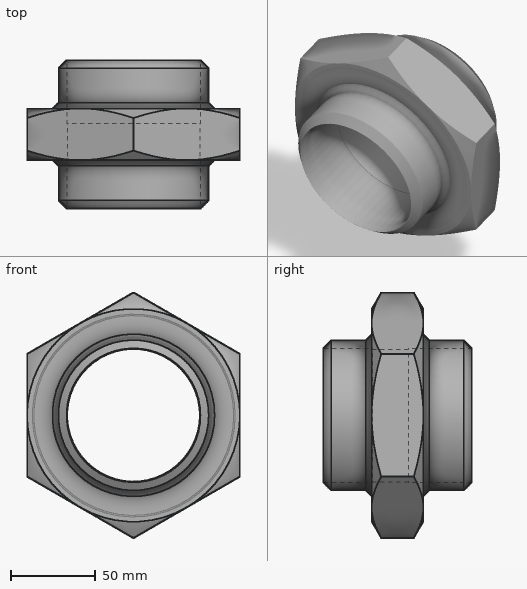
import cadquery as cq
import math

LENGTH = 88.0
ACROSS_FLATS = 126.0
ACROSS_CORNERS = 145.3

COLLAR_WIDTH = 30.5
CORNER_CHAMFER_ANGLE = 30.0
FACE_STEP_OUTER_DIAMETER = 120.0
FACE_STEP_INNER_DIAMETER = 118.3
FACE_STEP_DEPTH = 0.07

END_DIAMETER = 89.0
END_CHAMFER = 4.8
SHOULDER_DIAMETER = 96.0
SHOULDER_LENGTH = (SHOULDER_DIAMETER - END_DIAMETER) / 2

BORE_DIAMETER = 78.5
END_BORE_DIAMETER = 79.2
FRONT_BORE_DEPTH = 29.0
BACK_BORE_DEPTH = 37.5

HALF_LENGTH = LENGTH / 2
HALF_COLLAR = COLLAR_WIDTH / 2
FACE_Y = HALF_COLLAR - FACE_STEP_DEPTH


def turn(points):
    """Revolve a closed (radius, y) outline about the Y axis."""
    return cq.Workplane("XY").polyline(points).close().revolve(360, (0, 0, 0), (0, 1, 0))


def turn_both_sides(points):
    """Turn the +Y half of a symmetric shape and mirror it onto the -Y side."""
    half = turn(points)
    return half.union(half.mirror("XZ"))


def hex_collar():
    sharp_corners = ACROSS_FLATS / math.cos(math.pi / 6)
    hexagon = (
        cq.Workplane("XZ")
        .transformed(rotate=(0, 0, 90))
        .polygon(6, sharp_corners)
        .extrude(HALF_COLLAR, both=True)
    )
    flat_radius = ACROSS_FLATS / 2
    corner_radius = ACROSS_CORNERS / 2
    chamfer_drop = (corner_radius - flat_radius) * math.tan(math.radians(CORNER_CHAMFER_ANGLE))
    envelope = turn_both_sides([
        (0, 0),
        (corner_radius, 0),
        (corner_radius, HALF_COLLAR - chamfer_drop),
        (flat_radius, HALF_COLLAR),
        (FACE_STEP_OUTER_DIAMETER / 2, HALF_COLLAR),
        (FACE_STEP_INNER_DIAMETER / 2, FACE_Y),
        (0, FACE_Y),
    ])
    return hexagon.intersect(envelope)


def cylindrical_ends():
    end_radius = END_DIAMETER / 2
    return turn_both_sides([
        (0, 0),
        (SHOULDER_DIAMETER / 2, 0),
        (SHOULDER_DIAMETER / 2, FACE_Y),
        (end_radius, FACE_Y + SHOULDER_LENGTH),
        (end_radius, HALF_LENGTH - END_CHAMFER),
        (end_radius - END_CHAMFER, HALF_LENGTH),
        (0, HALF_LENGTH),
    ])


def stepped_bore():
    front_step_y = -HALF_LENGTH + FRONT_BORE_DEPTH
    back_step_y = HALF_LENGTH - BACK_BORE_DEPTH
    bore_radius = BORE_DIAMETER / 2
    end_radius = END_BORE_DIAMETER / 2
    return turn([
        (0, -HALF_LENGTH),
        (end_radius, -HALF_LENGTH),
        (end_radius, front_step_y),
        (bore_radius, front_step_y),
        (bore_radius, back_step_y),
        (end_radius, back_step_y),
        (end_radius, HALF_LENGTH),
        (0, HALF_LENGTH),
    ])


result = hex_collar().union(cylindrical_ends()).cut(stepped_bore())